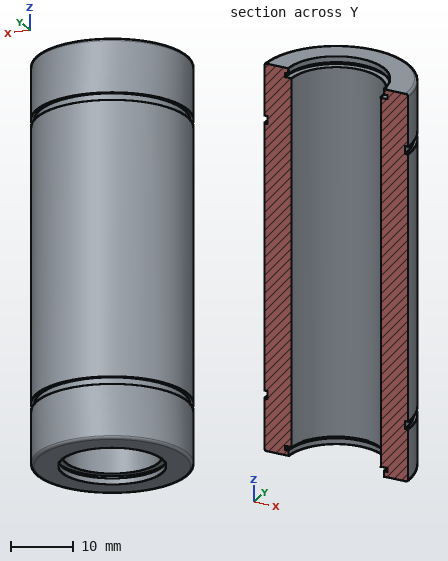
import cadquery as cq

length = 68.0
outer_diameter = 26.0
edge_fillet = 0.5

bore_diameter = 16.0
entry_diameter = 17.2
undercut_diameter = 18.4
lip_thickness = 1.0
recess_depth = 1.6

groove_diameter = 24.9
groove_width = 1.3
groove_end_distance = 9.25
cut_clearance = 0.7


def disc(diameter, height, bottom):
    """Solid cylinder on the Z axis, starting at the given height."""
    return cq.Workplane("XY").workplane(offset=bottom).circle(diameter / 2).extrude(height)


def ring_groove(bottom):
    """Ring of material to remove for one retaining-ring groove."""
    return disc(outer_diameter + cut_clearance, groove_width, bottom).cut(disc(groove_diameter, groove_width, bottom))


half_length = length / 2

result = disc(outer_diameter, length, -half_length).edges().fillet(edge_fillet)

result = result.cut(disc(bore_diameter, length, -half_length))

undercut_width = recess_depth - lip_thickness
for bottom in (-half_length, half_length - lip_thickness):
    result = result.cut(disc(entry_diameter, lip_thickness, bottom))
for bottom in (-half_length + lip_thickness, half_length - recess_depth):
    result = result.cut(disc(undercut_diameter, undercut_width, bottom))

for bottom in (-half_length + groove_end_distance, half_length - groove_end_distance - groove_width):
    result = result.cut(ring_groove(bottom))